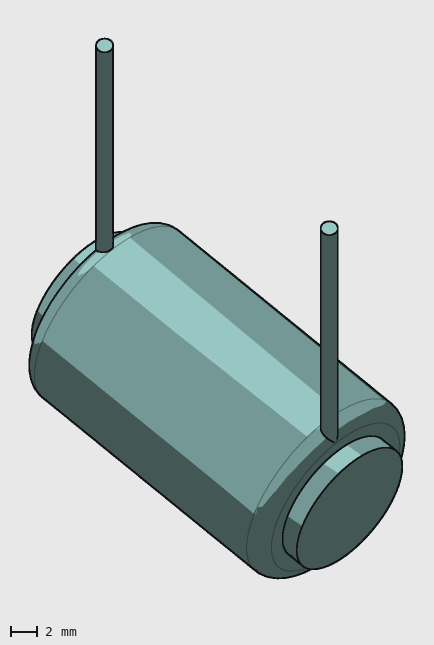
import cadquery as cq

overall_length = 28.45
body_length = 25.4
body_diameter = 16.26
body_edge_radius = 1.32
cap_diameter = 11.2
lead_diameter = 1.3
overall_height = 41.53

body_radius = body_diameter / 2
lead_top = overall_height - body_radius
lead_offset = (body_length - lead_diameter) / 2


def x_cylinder(diameter, length):
    """Cylinder along X, centred on the origin."""
    return cq.Workplane("YZ", origin=(-length / 2, 0, 0)).circle(diameter / 2).extrude(length)


def make_body():
    """Barrel with rounded end edges."""
    return x_cylinder(body_diameter, body_length).edges("%CIRCLE").fillet(body_edge_radius)


def make_lead(x_position):
    """Straight round wire rising from the body axis."""
    return cq.Workplane("XY").center(x_position, 0).circle(lead_diameter / 2).extrude(lead_top)


result = make_body().union(x_cylinder(cap_diameter, overall_length))
for side in (-1, 1):
    result = result.union(make_lead(side * lead_offset))